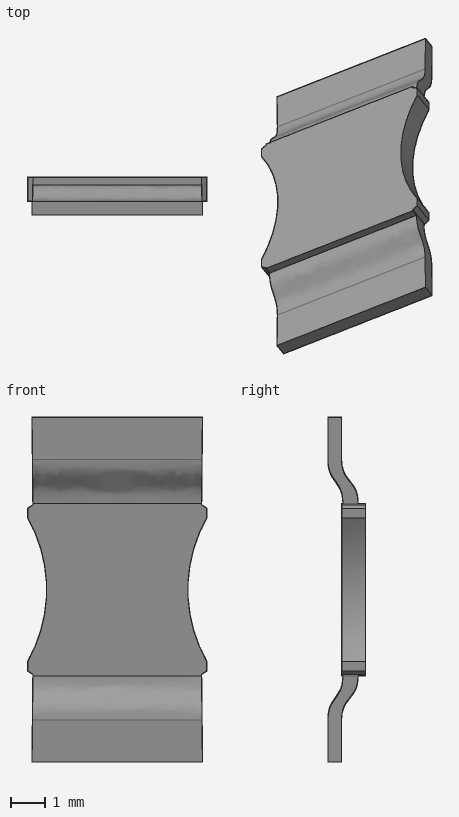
import cadquery as cq

length = 10.0
body_width = 5.2
total_depth = 1.1

body_length = 5.0
body_thickness = 0.7
waist_width = 4.1
arc_end_height = 2.08
shoulder_height = 2.36
shoulder_top_height = 2.46

tab_width = 4.952
neck_width = 4.9
tab_thickness = 0.4
bend_start_height = 3.78
neck_thickness = 0.44
neck_setback = 0.04
neck_embed = 0.2
tangent_strength = 1.6

half_length = length / 2
half_body = body_length / 2
tab_front = -total_depth / 2
tab_back = tab_front + tab_thickness
body_back = total_depth / 2
body_front = body_back - body_thickness
neck_front = body_front + neck_setback
neck_back = neck_front + neck_thickness


def extrude_through(outline, y_front, y_back):
    """Extrude a closed XZ outline from y_front to y_back."""
    return outline.extrude(y_front - y_back).translate((0, y_front, 0))


def make_body():
    """Plate with sloped shoulders and a concave arc on each side."""
    side = body_width / 2
    neck_side = neck_width / 2
    waist_side = waist_width / 2
    outline = (
        cq.Workplane("XZ")
        .moveTo(-neck_side, half_body)
        .lineTo(neck_side, half_body)
        .lineTo(neck_side, shoulder_top_height)
        .lineTo(side, shoulder_height)
        .lineTo(side, arc_end_height)
        .threePointArc((waist_side, 0), (side, -arc_end_height))
        .lineTo(side, -shoulder_height)
        .lineTo(neck_side, -shoulder_top_height)
        .lineTo(neck_side, -half_body)
        .lineTo(-neck_side, -half_body)
        .lineTo(-neck_side, -shoulder_top_height)
        .lineTo(-side, -shoulder_height)
        .lineTo(-side, -arc_end_height)
        .threePointArc((-waist_side, 0), (-side, arc_end_height))
        .lineTo(-side, shoulder_height)
        .lineTo(-neck_side, shoulder_top_height)
        .close()
    )
    return extrude_through(outline, body_front, body_back)


def make_arm_width():
    """Block that tapers from the tab width at its outer end to the neck width at the body."""
    tab_side = tab_width / 2
    neck_side = neck_width / 2
    outline = (
        cq.Workplane("XZ")
        .moveTo(-tab_side, half_length)
        .lineTo(tab_side, half_length)
        .lineTo(neck_side, half_body)
        .lineTo(neck_side, 0)
        .lineTo(-neck_side, 0)
        .lineTo(-neck_side, half_body)
        .close()
    )
    return extrude_through(outline, tab_front, body_back)


def make_upper_arm():
    """Upper tab and its S-bent neck, running down into the body."""
    foot = half_body - neck_embed
    down = (0, -tangent_strength)
    up = (0, tangent_strength)
    sheet = (
        cq.Workplane("YZ")
        .moveTo(tab_front, half_length)
        .lineTo(tab_front, bend_start_height)
        .spline([(neck_front, half_body)], tangents=[down, down], scale=False, includeCurrent=True)
        .lineTo(neck_front, foot)
        .lineTo(neck_back, foot)
        .lineTo(neck_back, half_body)
        .spline([(tab_back, bend_start_height)], tangents=[up, up], scale=False, includeCurrent=True)
        .lineTo(tab_back, half_length)
        .close()
        .extrude(tab_width)
        .translate((-tab_width / 2, 0, 0))
    )
    return sheet.intersect(make_arm_width())


upper_arm = make_upper_arm()
lower_arm = upper_arm.mirror("XY")
result = make_body().union(upper_arm).union(lower_arm)